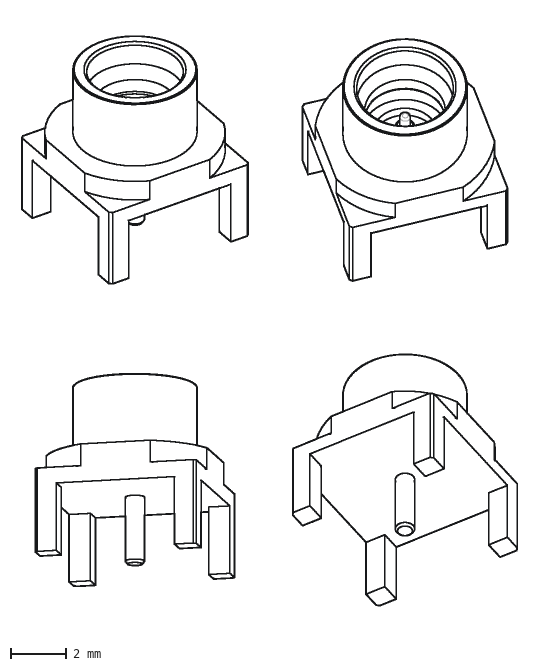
import cadquery as cq

total_height = 6.6
body_width = 6.0
body_bottom = 2.5
body_top = 3.9
corner_chamfer = 0.1
leg_width = 0.8

flange_diameter = 6.535
corner_ledge = 3.095

barrel_diameter = 4.5
barrel_edge_width = 0.045
barrel_edge_height = 0.03
mouth_diameter = 3.5
mouth_chamfer = 0.1
mouth_depth = 0.905
throat_diameter = 2.925
throat_start_depth = 1.4
throat_end_depth = 1.915
groove_diameter = 3.155
groove_start_depth = 2.1
recess_diameter = 2.35
recess_depth = 0.4

pin_diameter = 0.7
pin_bottom = 0.025
pin_shoulder = 4.355
pin_bottom_chamfer_width = 0.08
pin_bottom_chamfer_height = 0.105
pin_shoulder_chamfer = 0.06
tip_diameter = 0.38
tip_top = 4.95
tip_fillet = 0.085


def cylinder(diameter, bottom, top):
    return cq.Workplane("XY").workplane(offset=bottom).circle(diameter / 2).extrude(top - bottom)


def make_body():
    """Square block hollowed into four legs, with its upper corners cut to the flange."""
    body = cq.Workplane("XY").rect(body_width, body_width).extrude(body_top)
    body = body.edges("|Z").chamfer(corner_chamfer)

    gap = body_width - 2 * leg_width
    for length_x, length_y in ((gap, body_width), (body_width, gap)):
        channel = cq.Workplane("XY").rect(length_x, length_y).extrude(body_bottom)
        body = body.cut(channel)

    upper_block = (
        cq.Workplane("XY")
        .workplane(offset=corner_ledge)
        .rect(body_width, body_width)
        .extrude(body_top - corner_ledge)
    )
    flange = cylinder(flange_diameter, corner_ledge, body_top)
    return body.cut(upper_block).union(flange.intersect(upper_block))


def make_barrel():
    barrel = cylinder(barrel_diameter, body_top, total_height)
    return barrel.faces(">Z").edges().chamfer(barrel_edge_height, barrel_edge_width)


def make_bore():
    """Revolved cavity: chamfered mouth, tapered throat, undercut groove and floor recess."""
    mouth_radius = mouth_diameter / 2
    throat_radius = throat_diameter / 2
    groove_radius = groove_diameter / 2
    recess_radius = recess_diameter / 2
    recess_floor = body_top - recess_depth
    profile = [
        (0, total_height),
        (mouth_radius + mouth_chamfer, total_height),
        (mouth_radius, total_height - mouth_chamfer),
        (mouth_radius, total_height - mouth_depth),
        (throat_radius, total_height - throat_start_depth),
        (throat_radius, total_height - throat_end_depth),
        (groove_radius, total_height - groove_start_depth),
        (groove_radius, body_top),
        (recess_radius, body_top),
        (recess_radius, recess_floor),
        (0, recess_floor),
    ]
    return cq.Workplane("XZ").polyline(profile).close().revolve(360, (0, 0), (0, 1))


def make_pin():
    """Contact passing through the body, with a rounded narrow tip inside the bore."""
    pin = cylinder(pin_diameter, pin_bottom, pin_shoulder)
    pin = pin.faces(">Z").edges().chamfer(pin_shoulder_chamfer)
    pin = pin.faces("<Z").edges().chamfer(pin_bottom_chamfer_height, pin_bottom_chamfer_width)
    tip = cylinder(tip_diameter, pin_shoulder, tip_top)
    return pin.union(tip.faces(">Z").edges().fillet(tip_fillet))


result = make_body().union(make_barrel()).cut(make_bore()).union(make_pin())